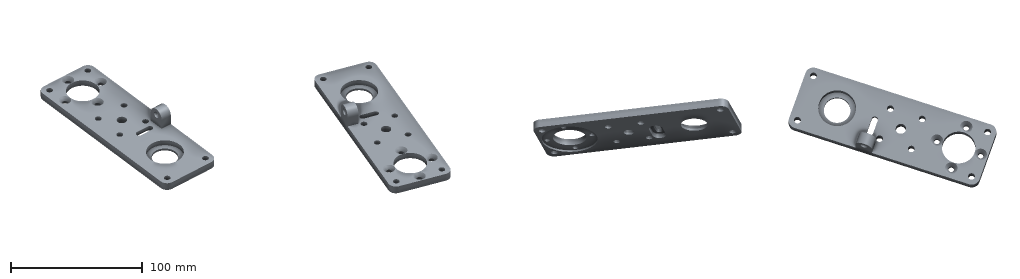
import cadquery as cq

length = 152.4
width = 50.7
thickness = 6.4
corner_radius = 6.1

fixing_diameter = 5.2
corner_spacing_x = 139.5
corner_spacing_y = 37.6
centre_hole_diameter = 8.0
centre_hole_x = -6.7
square_spacing = 25.5

opening_diameter = 25.5
opening_x = -53.0
underside_recess_diameter = 42.5
underside_recess_depth = 1.4
screw_circle_radius = 17.5
screw_count = 4
screw_diameter = 4.3
countersink_diameter = 9.5
countersink_angle = 90.0

bore_x = 44.3
bore_diameter = 20.3
recess_diameter = 28.7
recess_depth = 4.5

slot_x = 14.5
slot_y = 4.7
slot_length = 15.7
slot_width = 4.9
slot_relief_margin = 2.7
slot_relief_depth = 3.7

lug_x = 14.3
lug_width = 13.0
lug_depth = 9.0
lug_top = 21.3
lug_hole_z = 15.8


def make_plate():
    plate = cq.Workplane("XY").box(length, width, thickness, centered=(True, True, False))
    return plate.edges("|Z").fillet(corner_radius)


def make_lug():
    """Upright lug with a full-radius top and a cross hole along Y."""
    radius = lug_width / 2
    shoulder = lug_top - radius
    back_face = cq.Workplane("XZ", origin=(lug_x, width / 2, 0))
    body = (
        back_face.moveTo(-radius, 0)
        .lineTo(-radius, shoulder)
        .threePointArc((0, lug_top), (radius, shoulder))
        .lineTo(radius, 0)
        .close()
        .extrude(lug_depth)
    )
    hole = back_face.center(0, lug_hole_z).circle(fixing_diameter / 2).extrude(lug_depth)
    return body.cut(hole)


def top_face(x=0, y=0):
    return cq.Workplane("XY", origin=(x, y, thickness))


def cut_plain_holes(plate):
    corners = top_face().rect(corner_spacing_x, corner_spacing_y, forConstruction=True).vertices()
    square = top_face(centre_hole_x).rect(square_spacing, square_spacing, forConstruction=True).vertices()
    plate = plate.cut(corners.circle(fixing_diameter / 2).extrude(-thickness))
    plate = plate.cut(square.circle(fixing_diameter / 2).extrude(-thickness))
    return plate.cut(top_face(centre_hole_x).circle(centre_hole_diameter / 2).extrude(-thickness))


def cut_ringed_opening(plate):
    plate = plate.cut(top_face(opening_x).circle(opening_diameter / 2).extrude(-thickness))
    return (
        plate.copyWorkplane(top_face(opening_x))
        .polarArray(screw_circle_radius, 0, 360, screw_count)
        .cskHole(screw_diameter, countersink_diameter, countersink_angle, depth=thickness)
    )


def cut_underside_recess(plate):
    """Shallow circular recess under the large opening and its screw holes."""
    underside = cq.Workplane("XY", origin=(opening_x, 0, 0))
    return plate.cut(underside.circle(underside_recess_diameter / 2).extrude(underside_recess_depth))


def cut_stepped_bore(plate):
    bore = top_face(bore_x).circle(bore_diameter / 2).extrude(-thickness)
    recess = top_face(bore_x).circle(recess_diameter / 2).extrude(-recess_depth)
    return plate.cut(bore).cut(recess)


def cut_slot(plate):
    """Through slot, relieved from below by a wider slot offset evenly all round."""
    slot = top_face(slot_x, slot_y).slot2D(slot_length, slot_width, 90).extrude(-thickness)
    relief_length = slot_length + 2 * slot_relief_margin
    relief_width = slot_width + 2 * slot_relief_margin
    underside = cq.Workplane("XY", origin=(slot_x, slot_y, 0))
    relief = underside.slot2D(relief_length, relief_width, 90).extrude(slot_relief_depth)
    return plate.cut(slot).cut(relief)


plate = make_plate()
plate = cut_plain_holes(plate)
plate = cut_ringed_opening(plate)
plate = cut_underside_recess(plate)
plate = cut_stepped_bore(plate)
plate = cut_slot(plate)
result = plate.union(make_lug())